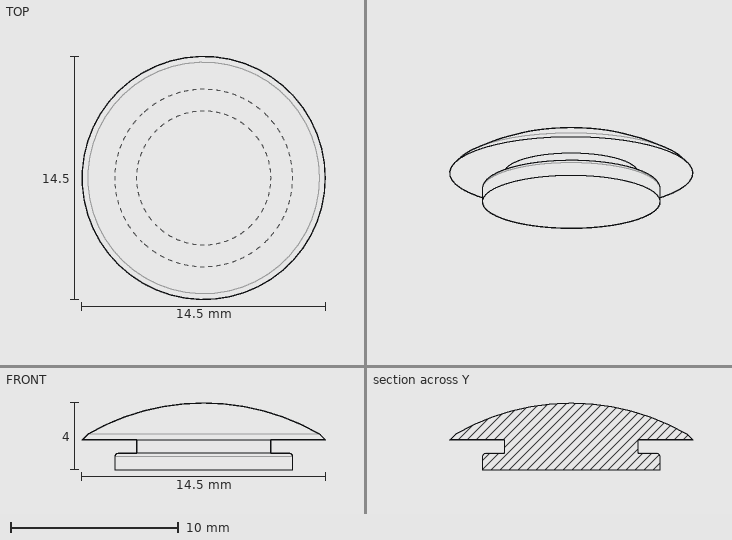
import cadquery as cq

cap_diameter = 14.5
total_height = 4.0

flange_diameter = 10.6
flange_height = 1.0
flange_edge_radius = 0.2

neck_diameter = 8.0
neck_height = 0.8

rim_bevel = 0.35

cap_base_z = flange_height + neck_height
dome_base_z = cap_base_z + rim_bevel
dome_base_radius = cap_diameter / 2 - rim_bevel
dome_height = total_height - dome_base_z
dome_sphere_radius = (dome_base_radius**2 + dome_height**2) / (2 * dome_height)


def make_flange():
    """Base disc with a rounded upper edge."""
    disc = cq.Workplane("XY").circle(flange_diameter / 2).extrude(flange_height)
    return disc.faces(">Z").edges().fillet(flange_edge_radius)


def make_neck():
    """Plain cylinder that joins the flange to the cap."""
    return cq.Workplane("XY").workplane(offset=flange_height).circle(neck_diameter / 2).extrude(neck_height)


def make_cap():
    """Spherical dome with a 45 degree bevelled rim, revolved about Z."""
    dome_mid_radius = dome_base_radius / 2
    sphere_center_z = total_height - dome_sphere_radius
    dome_mid_z = sphere_center_z + (dome_sphere_radius**2 - dome_mid_radius**2) ** 0.5
    profile = (
        cq.Workplane("XZ")
        .moveTo(0, cap_base_z)
        .lineTo(cap_diameter / 2, cap_base_z)
        .lineTo(dome_base_radius, dome_base_z)
        .threePointArc((dome_mid_radius, dome_mid_z), (0, total_height))
        .close()
    )
    return profile.revolve(360, (0, 0, 0), (0, 1, 0))


result = make_flange().union(make_neck()).union(make_cap())